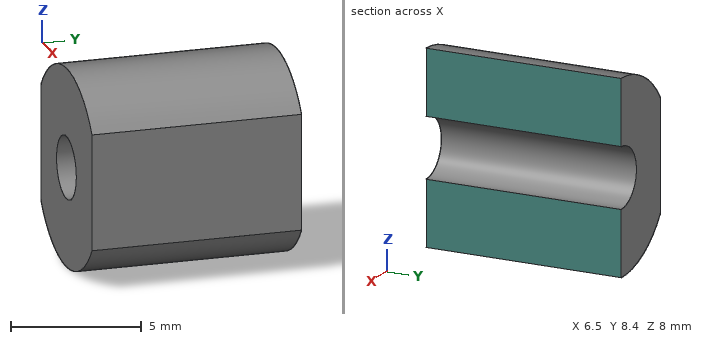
import cadquery as cq

length = 8.4
body_diameter = 8.0
width_across_flats = 6.5
bore_diameter = 2.5

round_bar = cq.Workplane("XZ").circle(body_diameter / 2).extrude(length / 2, both=True)

flats_envelope = cq.Workplane("XY").box(width_across_flats, length, body_diameter)
body = round_bar.intersect(flats_envelope)

bore = cq.Workplane("XZ").circle(bore_diameter / 2).extrude(length / 2, both=True)

result = body.cut(bore)